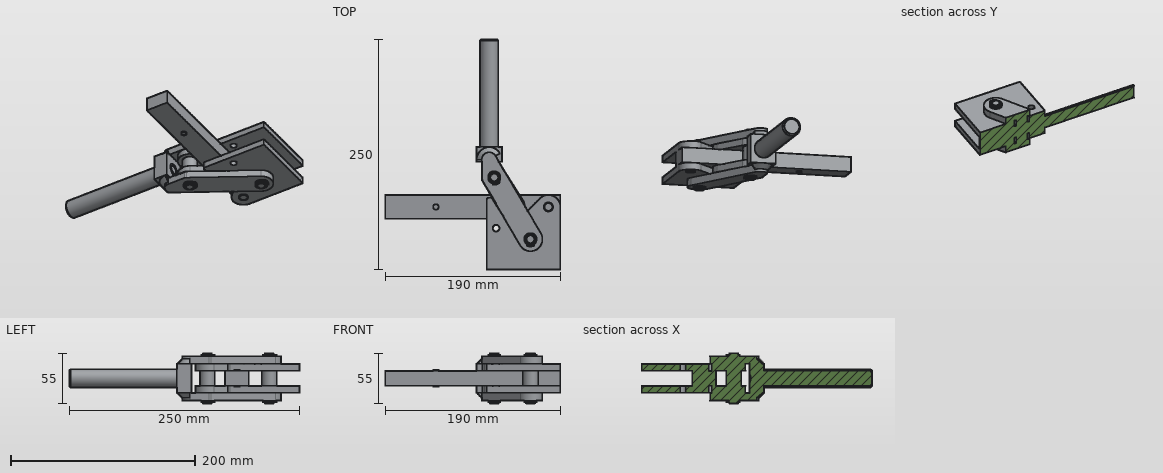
import cadquery as cq
import math


BAR_HALF = 8.3
PLATE_OUTER = 15.8
LEVER_OUTER = 24.3
PIN_END = 27.5
BAR_PIN_END = 9.3

EYE_RADIUS = 13.0
PIN_RADIUS = 5.0
PIN_CHAMFER = 0.8
SPACER_RADIUS = 8.3

PLATE_WIDTH = 80.0
TAB_HEIGHT = 78.0
TAB_FILLET = 2.5
RELIEF_ANGLE = 45.0
PLATE_HOLE = (10.3, 45.0)
PLATE_HOLE_DIAMETER = 7.0

BAR_LENGTH = 190.0
BAR_WIDTH = 2 * EYE_RADIUS
BAR_TOP = 81.0
BAR_PIN_X = -55.0
BAR_PIN_RADIUS = 3.0

KNUCKLE = (8.3, 100.0)
LEVER_PIVOT = (47.5, 33.0)
BAR_PIVOT = (PLATE_WIDTH - EYE_RADIUS, BAR_TOP - EYE_RADIUS)
LINK_PIVOT = (28.5, BAR_PIVOT[1])

HANDLE_X = 2.8
HANDLE_RADIUS = 10.0
HANDLE_TOP = 250.0
HANDLE_CHAMFER = 1.8
BLOCK_WIDTH = 28.0
BLOCK_DEPTH = 16.0
BLOCK_TOP = 133.0
BLOCK_BOTTOM = BLOCK_TOP - BLOCK_DEPTH
STUD_RADIUS = 4.8
COUNTERSINK_RADIUS = 7.0

BEND_RADIUS = 3.8
TIP_RADIUS = 8.0
WELD_LEG = 5.5

RING_RADIUS = 6.8
RING_THICKNESS = 1.5
EAR_RADIUS = 8.0
EAR_WIDTH = 8.0
EAR_GAP = 1.3
EAR_HOLE_DIAMETER = 1.3
KNUCKLE_RING_TURN = 20.0


def offset(point, direction, distance):
    return (point[0] + direction[0] * distance, point[1] + direction[1] * distance)


def unit(start, end):
    length = math.dist(start, end)
    return ((end[0] - start[0]) / length, (end[1] - start[1]) / length)


def right_of(direction):
    return (direction[1], -direction[0])


def layer(sketch, z_low, z_high):
    """Extrude a closed XY outline between two heights and mirror it about Z = 0."""
    upper = sketch.extrude(z_high - z_low).translate((0, 0, z_low))
    return upper.union(upper.mirror("XY"))


def cylinder(center, radius, half_length):
    base = cq.Workplane("XY", origin=(*center, -half_length))
    return base.circle(radius).extrude(2 * half_length)


def base_plates():
    """Two plates, relieved around the short links by a notch centred on the link pivot."""
    link_up = unit(LINK_PIVOT, KNUCKLE)
    link_right = right_of(link_up)
    angle = math.radians(RELIEF_ANGLE)
    relief_right = (math.sin(angle), -math.cos(angle))
    notch_radius = (BAR_PIVOT[0] - LINK_PIVOT[0]) * math.sin(angle) - EYE_RADIUS
    notch_left = offset(LINK_PIVOT, link_right, -notch_radius)
    rise = (TAB_HEIGHT - notch_left[1]) / link_up[1]
    outline = (
        cq.Workplane("XY")
        .moveTo(0, 0)
        .lineTo(PLATE_WIDTH, 0)
        .lineTo(PLATE_WIDTH, BAR_PIVOT[1])
        .threePointArc(
            (BAR_PIVOT[0], BAR_PIVOT[1] + EYE_RADIUS),
            offset(BAR_PIVOT, relief_right, -EYE_RADIUS),
        )
        .lineTo(*offset(LINK_PIVOT, relief_right, notch_radius))
        .threePointArc(offset(LINK_PIVOT, link_up, -notch_radius), notch_left)
        .lineTo(*offset(notch_left, link_up, rise))
        .lineTo(TAB_FILLET, TAB_HEIGHT)
        .radiusArc((0, TAB_HEIGHT - TAB_FILLET), -TAB_FILLET)
        .close()
    )
    plates = layer(outline, BAR_HALF, PLATE_OUTER)
    return plates.cut(cylinder(PLATE_HOLE, PLATE_HOLE_DIAMETER / 2, PLATE_OUTER))


def short_links():
    up = unit(LINK_PIVOT, KNUCKLE)
    right = right_of(up)
    outline = (
        cq.Workplane("XY")
        .moveTo(*offset(LINK_PIVOT, right, EYE_RADIUS))
        .lineTo(*offset(KNUCKLE, right, EYE_RADIUS))
        .threePointArc(offset(KNUCKLE, up, EYE_RADIUS), offset(KNUCKLE, right, -EYE_RADIUS))
        .lineTo(*offset(LINK_PIVOT, right, -EYE_RADIUS))
        .threePointArc(
            offset(LINK_PIVOT, up, -EYE_RADIUS), offset(LINK_PIVOT, right, EYE_RADIUS)
        )
        .close()
    )
    return layer(outline, BAR_HALF, PLATE_OUTER)


def clamping_bar():
    bar = (
        cq.Workplane("XY")
        .rect(BAR_LENGTH, BAR_WIDTH)
        .extrude(BAR_HALF, both=True)
        .translate((PLATE_WIDTH - BAR_LENGTH / 2, BAR_TOP - BAR_WIDTH / 2, 0))
    )
    return bar.union(cylinder((BAR_PIN_X, BAR_PIVOT[1]), BAR_PIN_RADIUS, BAR_PIN_END))


LEVER_UP = unit(LEVER_PIVOT, KNUCKLE)
LEVER_RIGHT = right_of(LEVER_UP)
TIP_ON_AXIS = offset(KNUCKLE, LEVER_RIGHT, EYE_RADIUS - TIP_RADIUS)
TIP = offset(TIP_ON_AXIS, LEVER_UP, (HANDLE_X - TIP_ON_AXIS[0]) / LEVER_UP[0])


def levers():
    left_edge = TIP[0] - TIP_RADIUS
    pivot_left = offset(LEVER_PIVOT, LEVER_RIGHT, -EYE_RADIUS)
    pivot_right = offset(LEVER_PIVOT, LEVER_RIGHT, EYE_RADIUS)
    bend = offset(pivot_left, LEVER_UP, (left_edge - pivot_left[0]) / LEVER_UP[0])
    bend_angle = math.acos(LEVER_UP[1])
    bend_setback = BEND_RADIUS * math.tan(bend_angle / 2)
    outline = (
        cq.Workplane("XY")
        .moveTo(*pivot_left)
        .lineTo(*offset(bend, LEVER_UP, -bend_setback))
        .radiusArc((left_edge, bend[1] + bend_setback), BEND_RADIUS)
        .lineTo(left_edge, TIP[1])
        .threePointArc((TIP[0], TIP[1] + TIP_RADIUS), offset(TIP, LEVER_RIGHT, TIP_RADIUS))
        .lineTo(*pivot_right)
        .threePointArc(offset(LEVER_PIVOT, LEVER_UP, -EYE_RADIUS), pivot_left)
        .close()
    )
    return layer(outline, PLATE_OUTER, LEVER_OUTER)


def weld_beads():
    """Conical fillet welds around the lever tips, swept over the rounded part only."""
    start_angle = math.degrees(math.atan2(LEVER_RIGHT[1], LEVER_RIGHT[0]))
    bead = (
        cq.Workplane("XZ")
        .polyline([
            (0, PLATE_OUTER),
            (TIP_RADIUS + WELD_LEG, PLATE_OUTER),
            (TIP_RADIUS, PLATE_OUTER + WELD_LEG),
            (0, PLATE_OUTER + WELD_LEG),
        ])
        .close()
        .revolve(180 - start_angle, (0, 0), (0, 1))
    )
    bead = bead.rotate((0, 0, 0), (0, 0, 1), start_angle)
    bead = bead.translate((TIP[0], TIP[1], 0))
    return bead.union(bead.mirror("XY"))


def handle_block():
    block = cq.Workplane("XY").box(BLOCK_WIDTH, BLOCK_DEPTH, 2 * PLATE_OUTER)
    block = block.translate((HANDLE_X, BLOCK_BOTTOM + BLOCK_DEPTH / 2, 0))
    sink_depth = COUNTERSINK_RADIUS - STUD_RADIUS
    groove = (
        cq.Workplane("XY")
        .polyline([(STUD_RADIUS, 0), (COUNTERSINK_RADIUS, 0), (STUD_RADIUS, sink_depth)])
        .close()
        .revolve(360, (0, 0), (0, 1))
        .translate((HANDLE_X, BLOCK_BOTTOM, 0))
    )
    return block.cut(groove)


def handle():
    rod = cq.Workplane("XZ").circle(HANDLE_RADIUS).extrude(-(HANDLE_TOP - BLOCK_TOP))
    return rod.faces(">Y").chamfer(HANDLE_CHAMFER).translate((HANDLE_X, BLOCK_TOP, 0))


def pivot_pin(center):
    """Long pin with chamfered ends and a spacer between the two plate layers."""
    pin = cylinder(center, PIN_RADIUS, PIN_END).faces("<Z or >Z").chamfer(PIN_CHAMFER)
    return pin.union(cylinder(center, SPACER_RADIUS, BAR_HALF))


def retaining_rings(center, turn):
    """Split rings with two drilled ears, seated on the outer lever faces."""
    ears = (
        cq.Workplane("XY")
        .center(0, -EAR_RADIUS / 2)
        .rect(EAR_WIDTH, EAR_RADIUS)
        .extrude(RING_THICKNESS)
        .intersect(cq.Workplane("XY").circle(EAR_RADIUS).extrude(RING_THICKNESS))
    )
    gap = (
        cq.Workplane("XY")
        .center(0, -EAR_RADIUS / 2)
        .rect(EAR_GAP, EAR_RADIUS)
        .extrude(RING_THICKNESS)
    )
    ear_hole_x = (EAR_WIDTH + EAR_GAP) / 4
    ear_hole_y = EAR_HOLE_DIAMETER / 2 - RING_RADIUS
    holes = (
        cq.Workplane("XY")
        .pushPoints([(-ear_hole_x, ear_hole_y), (ear_hole_x, ear_hole_y)])
        .circle(EAR_HOLE_DIAMETER / 2)
        .extrude(RING_THICKNESS)
    )
    ring = cq.Workplane("XY").circle(RING_RADIUS).extrude(RING_THICKNESS)
    ring = ring.union(ears).cut(gap).cut(holes)
    ring = ring.rotate((0, 0, 0), (0, 0, 1), turn).translate((*center, LEVER_OUTER))
    return ring.union(ring.mirror("XY"))


def bar_pivot_groove():
    """Small V groove left around the chamfered ends of the flush bar pivot pin."""
    groove = (
        cq.Workplane("XZ")
        .polyline([
            (PIN_RADIUS - PIN_CHAMFER, PLATE_OUTER),
            (PIN_RADIUS, PLATE_OUTER),
            (PIN_RADIUS, PLATE_OUTER - PIN_CHAMFER),
        ])
        .close()
        .revolve(360, (0, 0), (0, 1))
        .translate((*BAR_PIVOT, 0))
    )
    return groove.union(groove.mirror("XY"))


result = base_plates().cut(bar_pivot_groove())
for feature in (
    short_links(),
    clamping_bar(),
    levers(),
    handle_block(),
    weld_beads(),
    handle(),
    retaining_rings(KNUCKLE, KNUCKLE_RING_TURN),
    retaining_rings(LEVER_PIVOT, 0),
    pivot_pin(KNUCKLE),
    pivot_pin(LEVER_PIVOT),
):
    result = result.union(feature)